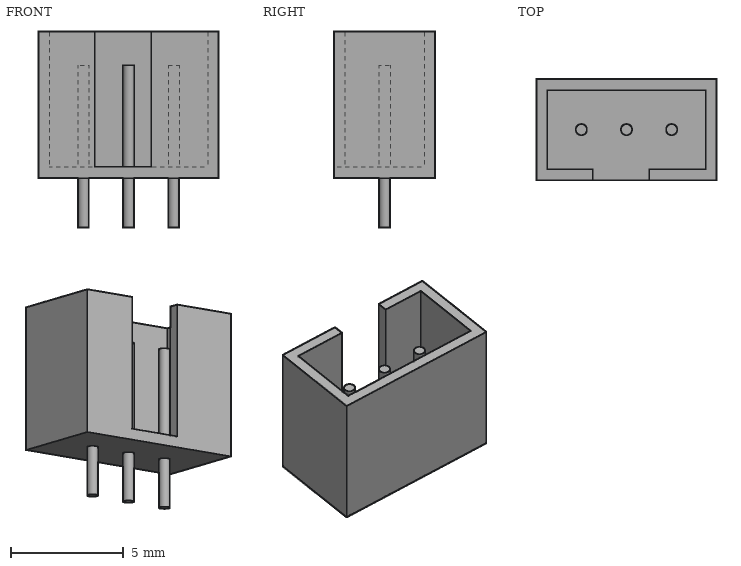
import cadquery as cq

body_length = 8.0
body_width = 4.5
total_height = 8.7
tail_length = 2.2
wall = 0.5
slot_left = -1.5
slot_right = 1.0
pin_diameter = 0.5
pin_pitch = 2.0
pin_count = 3
pin_recess = 1.5

body_height = total_height - tail_length
cavity_depth = body_height - wall
slot_width = slot_right - slot_left
pin_length = total_height - pin_recess


def make_housing():
    """Open-topped box with a keying slot through the -Y wall."""
    housing = cq.Workplane("XY").box(
        body_length, body_width, body_height, centered=(True, True, False)
    )
    cavity = (
        cq.Workplane("XY")
        .workplane(offset=wall)
        .rect(body_length - 2 * wall, body_width - 2 * wall)
        .extrude(cavity_depth)
    )
    slot = (
        cq.Workplane("XY")
        .box(slot_width, wall, cavity_depth, centered=False)
        .translate((slot_left, -body_width / 2, wall))
    )
    return housing.cut(cavity).cut(slot)


def make_pins():
    """Row of straight round pins passing through the floor."""
    return (
        cq.Workplane("XY")
        .workplane(offset=-tail_length)
        .rarray(pin_pitch, 0.09, pin_count, 1)
        .circle(pin_diameter / 2)
        .extrude(pin_length)
    )


result = make_housing().union(make_pins())